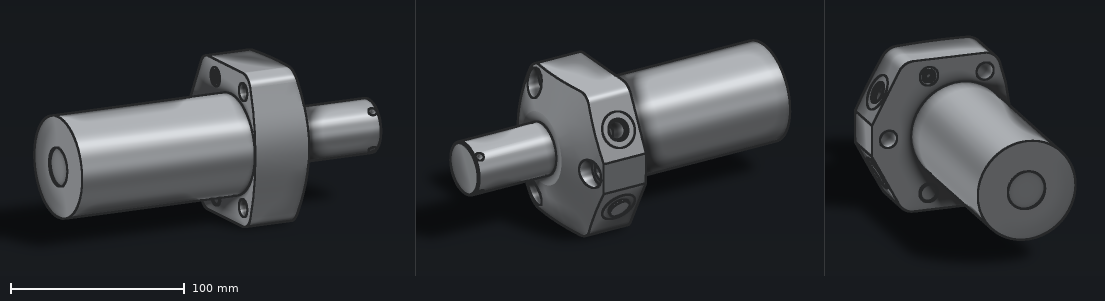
import cadquery as cq
import math


body_diameter = 60.0
body_length = 112.0
body_recess_diameter = 22.8
body_recess_depth = 1.0
rod_diameter = 32.0
rod_end_y = 89.8
rod_chamfer = 0.8
dimple_diameter = 4.8
dimple_depth = 2.4
dimple_setback = 3.7
dimple_angles = (45, 135, 225, 315)

flange_thickness = 37.25
flange_half_height = 45.82
flange_left_x = -54.0
flange_right_x = 30.91
nose_half_height = 9.5
slant_angle = 61.75
right_arc_radius = 120.0
corner_radius = 10.0
front_flat_radius = 22.0
front_cone_angle = 15.0

mount_positions = ((-43.8, 0.0), (15.4, 34.6), (15.4, -34.6))
mount_diameter = 10.5
counterbore_diameter = 17.0
counterbore_floor_y = 25.0

port_y = 13.5
port_z = 24.6
spotface_diameter = 21.2
spotface_depth = 0.2
port_mouth_diameter = 12.9
port_neck_diameter = 12.3
port_bore_diameter = 10.6
port_mouth_chamfer = 0.4
port_neck_depth = 2.0
port_shoulder_depth = 2.7
port_depth = 17.0
port_plug_height = 1.5

fitting_x = -19.1
fitting_z = 35.5
fitting_diameter = 11.2
fitting_height = 0.6
fitting_bore_diameter = 7.8
fitting_recess_depth = 1.5
screw_diameter = 6.8
screw_tip_diameter = 5.6
screw_tip_y = 0.3
screw_chamfer_length = 0.6
socket_across_flats = 3.5
socket_depth = 1.0
groove_inner_diameter = 10.0
groove_depth = 0.6


def y_cylinder(x, z, diameter, y_start, y_end):
    """Cylinder along Y between two Y positions."""
    axis = cq.Vector(0, 1, 0)
    start = cq.Vector(x, y_start, z)
    return cq.Workplane(obj=cq.Solid.makeCylinder(diameter / 2, y_end - y_start, start, axis))


def y_cone(x, z, start_diameter, end_diameter, y_start, y_end):
    """Cone along Y between two Y positions."""
    axis = cq.Vector(0, 1, 0)
    start = cq.Vector(x, y_start, z)
    cone = cq.Solid.makeCone(start_diameter / 2, end_diameter / 2, y_end - y_start, start, axis)
    return cq.Workplane(obj=cone)


def slant_x(z):
    """X of the slanted faces at height z."""
    return flange_left_x + (abs(z) - nose_half_height) / math.tan(math.radians(slant_angle))


def make_flange():
    """Flange plate with rounded corners and a conical front face."""
    arc_center_x = flange_right_x - right_arc_radius
    right_corner_x = arc_center_x + math.sqrt(right_arc_radius**2 - flange_half_height**2)
    corner_x = slant_x(flange_half_height)
    plate = (
        cq.Workplane("XZ")
        .moveTo(flange_left_x, -nose_half_height)
        .lineTo(corner_x, -flange_half_height)
        .lineTo(right_corner_x, -flange_half_height)
        .threePointArc((flange_right_x, 0), (right_corner_x, flange_half_height))
        .lineTo(corner_x, flange_half_height)
        .lineTo(flange_left_x, nose_half_height)
        .close()
        .extrude(-flange_thickness)
    )
    plate = plate.edges("|Y").edges(">Z or <Z").fillet(corner_radius)

    cone_radius = front_flat_radius + flange_thickness / math.tan(math.radians(front_cone_angle))
    envelope = y_cone(0, 0, 2 * cone_radius, 2 * front_flat_radius, 0, flange_thickness)
    return plate.intersect(envelope)


def make_body():
    """Large cylinder behind the flange with a shallow round recess in its end."""
    body = y_cylinder(0, 0, body_diameter, -body_length, 0)
    recess = y_cylinder(0, 0, body_recess_diameter, -body_length, -body_length + body_recess_depth)
    return body.cut(recess)


def make_rod():
    """Chamfered rod with conical dimples around its end."""
    rod = y_cylinder(0, 0, rod_diameter, 0, rod_end_y).faces(">Y").chamfer(rod_chamfer)
    base_radius = dimple_diameter / 2
    slope = base_radius / dimple_depth
    rim_distance = math.sqrt((rod_diameter / 2) ** 2 - base_radius**2)
    tip_distance = rim_distance - dimple_depth
    cone_height = rod_diameter / 2 - tip_distance
    for angle in dimple_angles:
        direction = cq.Vector(math.cos(math.radians(angle)), 0, math.sin(math.radians(angle)))
        tip = cq.Vector(0, rod_end_y - dimple_setback, 0) + direction * tip_distance
        dimple = cq.Solid.makeCone(0, cone_height * slope, cone_height, tip, direction)
        rod = rod.cut(cq.Workplane(obj=dimple))
    return rod


def cut_mounting_holes(part):
    """Three through holes with counterbores opening to the front."""
    for x, z in mount_positions:
        part = part.cut(y_cylinder(x, z, mount_diameter, 0, flange_thickness))
        part = part.cut(y_cylinder(x, z, counterbore_diameter, counterbore_floor_y, flange_thickness))
    return part


def port_plane(side):
    """Plane on a slanted face at its port; side is +1 for upper, -1 for lower. Normal points outward."""
    tilt = math.radians(slant_angle)
    normal = (-math.sin(tilt), 0, side * math.cos(tilt))
    return cq.Workplane(cq.Plane((slant_x(port_z), port_y, side * port_z), (0, 1, 0), normal))


def add_side_ports(part):
    """Open chamfered port on the upper slanted face, plugged port on the lower one."""
    for side in (1, -1):
        part = part.cut(port_plane(side).circle(spotface_diameter / 2).extrude(-spotface_depth))
    mouth_radius = port_mouth_diameter / 2
    neck_radius = port_neck_diameter / 2
    bore_radius = port_bore_diameter / 2
    port = (
        cq.Workplane("XY")
        .polyline(
            [
                (0, -port_depth),
                (bore_radius, -port_depth),
                (bore_radius, -port_shoulder_depth),
                (neck_radius, -port_neck_depth),
                (neck_radius, -spotface_depth - port_mouth_chamfer),
                (mouth_radius, -spotface_depth),
                (0, -spotface_depth),
            ]
        )
        .close()
        .revolve(360, (0, 0, 0), (0, 1, 0))
        .rotate((0, 0, 0), (0, 0, 1), 90)
        .rotate((0, 0, 0), (0, 1, 0), 90 - slant_angle)
        .translate((slant_x(port_z), port_y, port_z))
    )
    plug = (
        port_plane(-1)
        .workplane(offset=-spotface_depth)
        .circle(port_mouth_diameter / 2)
        .extrude(spotface_depth + port_plug_height)
    )
    return part.cut(port).union(plug)


def add_rear_fittings(part):
    """Rounded collar with a recessed socket screw on the upper half, ring groove on the lower half."""
    outer_radius = fitting_diameter / 2
    inner_radius = fitting_bore_diameter / 2
    collar = (
        cq.Workplane("XY")
        .moveTo(inner_radius, 0)
        .threePointArc(((inner_radius + outer_radius) / 2, -fitting_height), (outer_radius, 0))
        .close()
        .revolve(360, (0, 0, 0), (0, 1, 0))
        .translate((fitting_x, 0, fitting_z))
    )
    recess = y_cylinder(fitting_x, fitting_z, fitting_bore_diameter, 0, fitting_recess_depth)
    chamfer_end_y = screw_tip_y + screw_chamfer_length
    tip = y_cone(fitting_x, fitting_z, screw_tip_diameter, screw_diameter, screw_tip_y, chamfer_end_y)
    shank = y_cylinder(fitting_x, fitting_z, screw_diameter, chamfer_end_y, fitting_recess_depth)
    socket = (
        cq.Workplane("XZ", origin=(fitting_x, screw_tip_y, fitting_z))
        .polygon(6, socket_across_flats, circumscribed=True)
        .extrude(-socket_depth)
    )
    part = part.union(collar).cut(recess).union(tip).union(shank).cut(socket)

    groove = y_cylinder(fitting_x, -fitting_z, fitting_diameter, 0, groove_depth)
    groove = groove.cut(y_cylinder(fitting_x, -fitting_z, groove_inner_diameter, 0, groove_depth))
    return part.cut(groove)


flange = cut_mounting_holes(make_flange())
flange = add_rear_fittings(add_side_ports(flange))
result = flange.union(make_body()).union(make_rod())